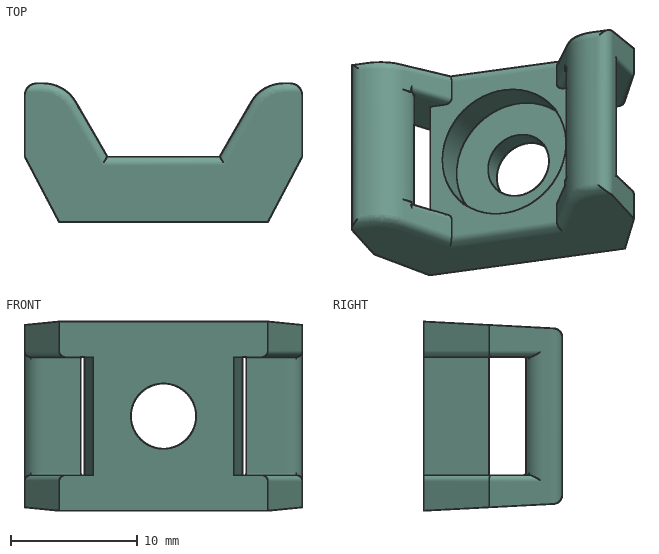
import cadquery as cq
import math

half_length = 11.0
height = 11.0
half_width = 7.5
draft_angle = math.radians(3.0)
base_half_length = 8.27

floor_y = 5.2
floor_half_length = 4.45
slope_angle = math.radians(60.0)
crest_radius = 3.0
outer_corner_radius = 1.0
rim_radius = 0.75

slot_half_width = 4.66
block_half_base = 5.55
block_half_top = 6.27
bar_bottom_y = 8.1
bar_outer_radius = 1.3
slot_mouth_radius = 0.5
slot_corner_radius = 0.13

hole_radius = 2.57
counterbore_start_y = 2.0
counterbore_radius = 5.24

selection_margin = 0.02
slope_run = math.cos(slope_angle) / math.sin(slope_angle)

crest_center_y = height - crest_radius
crest_foot_y = crest_center_y + crest_radius * math.cos(slope_angle)
crest_foot_x = floor_half_length + (crest_foot_y - floor_y) * slope_run
crest_center_x = crest_foot_x + crest_radius * math.sin(slope_angle)


def crest_point(angle):
    """Point on the crest arc at +X, with the angle measured from the top towards the saddle."""
    return (
        crest_center_x - crest_radius * math.sin(angle),
        crest_center_y + crest_radius * math.cos(angle),
    )


def box_selector(lower, upper, half_depth):
    """Select edges centred inside an XY rectangle and within half_depth of Z = 0."""
    return cq.selectors.BoxSelector(
        (lower[0] - selection_margin, lower[1] - selection_margin, -half_depth - selection_margin),
        (upper[0] + selection_margin, upper[1] + selection_margin, half_depth + selection_margin),
    )


def wing_outline():
    """Wing at +X, from the middle of the base to the middle of the saddle floor."""
    return (
        cq.Workplane("XY")
        .lineTo(base_half_length, 0)
        .lineTo(half_length, floor_y)
        .lineTo(half_length, height)
        .lineTo(crest_center_x, height)
        .threePointArc(crest_point(slope_angle / 2), crest_point(slope_angle))
        .lineTo(floor_half_length, floor_y)
        .lineTo(0, floor_y)
        .close()
    )


def saddle_body():
    """Saddle with drafted flanks, a rounded upper rim and rounded outer corners."""
    wing = wing_outline().extrude(half_width, both=True)
    body = wing.union(wing.mirror("YZ")).clean()
    top_half_width = half_width - height * math.tan(draft_angle)
    flanks = (
        cq.Workplane("YZ")
        .polyline([(0, -half_width), (0, half_width), (height, top_half_width), (height, -top_half_width)])
        .close()
        .extrude(half_length, both=True)
    )
    body = body.intersect(flanks)
    rim_half_length = half_length - outer_corner_radius
    rim = body.faces("<Z or >Z").edges(
        box_selector((-rim_half_length, floor_y), (rim_half_length, height), half_width)
    )
    body = rim.fillet(rim_radius)
    envelope = (
        cq.Workplane("XY")
        .box(2 * half_length, height, 2 * half_width, centered=(True, False, True))
        .edges("|Z and >Y")
        .fillet(outer_corner_radius)
    )
    return body.intersect(envelope)


def slot_prism(half_depth):
    """Slot at +X with a constant section: past the block, under the bar and out of the wing."""
    tip_angle = math.acos((bar_bottom_y - crest_center_y) / crest_radius)
    bar_x = half_length - bar_outer_radius
    bar_y = bar_bottom_y + bar_outer_radius
    bar_reach = bar_outer_radius * math.sqrt(0.5)
    outline = (
        cq.Workplane("XY")
        .moveTo(block_half_base, 0)
        .lineTo(block_half_top, floor_y)
        .lineTo(floor_half_length, floor_y)
        .lineTo(floor_half_length, crest_foot_y)
        .lineTo(crest_foot_x, crest_foot_y)
        .threePointArc(crest_point((slope_angle + tip_angle) / 2), crest_point(tip_angle))
        .lineTo(bar_x, bar_bottom_y)
        .threePointArc((bar_x + bar_reach, bar_y - bar_reach), (half_length, bar_y))
        .lineTo(half_length, 0)
        .close()
    )
    return outline.extrude(half_depth, both=True)


def strap_slot():
    """Slot at +X between the cheeks, with small rounds where the cheeks meet the bar."""
    slot = slot_prism(slot_half_width)
    bar_ends = slot.faces("<Z or >Z").edges(
        box_selector((crest_foot_x, bar_bottom_y), (half_length, bar_bottom_y), slot_half_width)
    )
    rounded = bar_ends.fillet(slot_corner_radius)
    outer_end = (
        cq.Workplane("XY")
        .box(slot_mouth_radius, height, 2 * slot_half_width, centered=(False, False, True))
        .translate((half_length - slot_mouth_radius, 0, 0))
    )
    return rounded.union(slot.intersect(outer_end))


def slot_mouth():
    """Flare at +X that rounds the cheek edges on the outer faces and on the saddle slope."""
    slope_end_x = floor_half_length - floor_y * slope_run
    cheek = (
        cq.Workplane("XY")
        .workplane(offset=slot_half_width)
        .polyline([
            (slope_end_x, 0),
            (base_half_length, 0),
            (half_length, floor_y),
            (half_length, height),
            (slope_end_x + height * slope_run, height),
        ])
        .close()
        .extrude(2 * slot_mouth_radius)
    )
    mouth_edges = cheek.faces("<Z").edges("not #Y")
    cheek = mouth_edges.fillet(slot_mouth_radius)
    flare_end_y = crest_foot_y - math.sin(slope_angle) * math.sqrt(
        (crest_radius + slot_corner_radius) ** 2 - crest_radius**2
    )
    above_flare = (
        cq.Workplane("XY")
        .box(crest_foot_x, height, 2 * half_width, centered=(False, False, True))
        .translate((0, flare_end_y, 0))
    )
    between_cheeks = (
        cq.Workplane("XY")
        .box(half_length, height, 2 * slot_half_width, centered=(False, False, True))
    )
    flare = slot_prism(slot_half_width + slot_mouth_radius).cut(between_cheeks).cut(above_flare)
    return flare.cut(cheek).cut(cheek.mirror("XY"))


def screw_hole():
    """Through hole from the base, counterbored from the saddle floor."""
    hole = cq.Workplane("XZ").circle(hole_radius).extrude(-floor_y)
    counterbore = (
        cq.Workplane("XZ", origin=(0, counterbore_start_y, 0))
        .circle(counterbore_radius)
        .extrude(counterbore_start_y - floor_y)
    )
    return hole.union(counterbore)


result = saddle_body()
for cutter in (strap_slot(), slot_mouth()):
    result = result.cut(cutter).cut(cutter.mirror("YZ"))
result = result.cut(screw_hole())